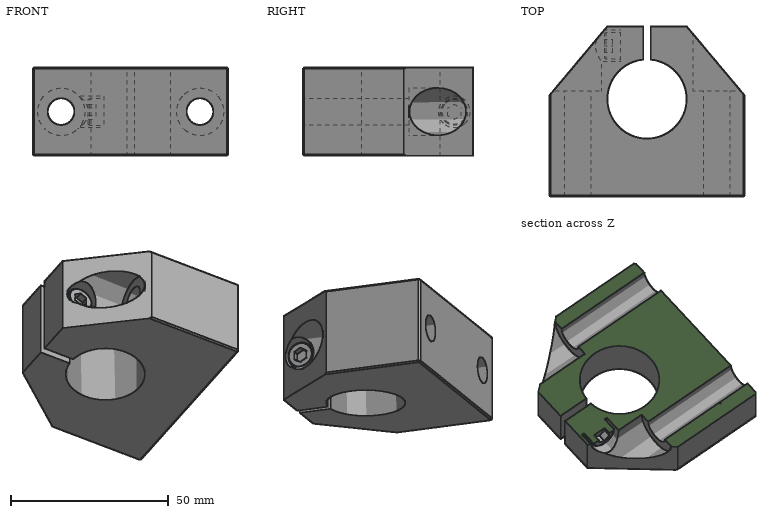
import cadquery as cq

width = 62.0
depth = 54.0
height = 28.0
shoulder_y = 32.05
top_width = 25.2
edge_chamfer = 0.5

bore_diameter = 25.05
bore_y = 31.0
slot_width = 2.25

mount_spacing = 44.0
mount_diameter = 8.4
mount_seat_diameter = 15.0
mount_seat_y = 33.6

screw_y = 47.9
screw_recess_diameter = 10.0
screw_seat_x = -8.5
screw_head_diameter = 8.5
screw_head_height = 5.0
screw_head_chamfer = 0.4
hex_across_flats = 4.15
hex_depth = 2.5


def make_block():
    """Block with sloping shoulders and chamfered back and side faces."""
    half_width = width / 2
    half_top = top_width / 2
    envelope = (
        cq.Workplane("XY")
        .box(width, depth, height, centered=(True, False, True))
        .edges("<Y or (<X and |Y) or (>X and |Y)")
        .chamfer(edge_chamfer)
    )
    for side in (-1, 1):
        corner = (
            cq.Workplane("XY")
            .moveTo(side * half_width, shoulder_y)
            .lineTo(side * half_top, depth)
            .lineTo(side * half_width, depth)
            .close()
            .extrude(height / 2, both=True)
        )
        envelope = envelope.cut(corner)
    return envelope


def cylinder_y(diameter, x, start_y, length):
    """Cylinder along +Y at mid height."""
    base = cq.Vector(x, start_y, 0)
    return cq.Workplane(cq.Solid.makeCylinder(diameter / 2, length, base, cq.Vector(0, 1, 0)))


def cut_shaft_clamp(body):
    """Vertical shaft bore, opened to the +Y face by a slot."""
    bore = cq.Workplane("XY").center(0, bore_y).circle(bore_diameter / 2).extrude(height / 2, both=True)
    slot = (
        cq.Workplane("XY")
        .center(0, bore_y)
        .box(slot_width, depth - bore_y, height, centered=(True, False, True))
    )
    return body.cut(bore).cut(slot)


def cut_mounting_holes(body):
    """Through holes along Y with flat seats for the mounting screws."""
    for x in (-mount_spacing / 2, mount_spacing / 2):
        body = body.cut(cylinder_y(mount_diameter, x, 0, depth))
        body = body.cut(cylinder_y(mount_seat_diameter, x, mount_seat_y, depth - mount_seat_y))
    return body


def add_clamp_screw(body):
    """Recess along X holding a socket head that rests on its floor."""
    seat = cq.Workplane("YZ", origin=(screw_seat_x, screw_y, 0))
    recess = seat.circle(screw_recess_diameter / 2).extrude(-(width / 2 + screw_seat_x))
    head = (
        seat.circle(screw_head_diameter / 2)
        .extrude(-screw_head_height)
        .faces("<X")
        .chamfer(screw_head_chamfer)
    )
    socket = (
        cq.Workplane("YZ", origin=(screw_seat_x - screw_head_height, screw_y, 0))
        .polygon(6, hex_across_flats, circumscribed=True)
        .extrude(hex_depth)
    )
    return body.cut(recess).union(head.cut(socket))


result = make_block()
result = cut_shaft_clamp(result)
result = cut_mounting_holes(result)
result = add_clamp_screw(result)